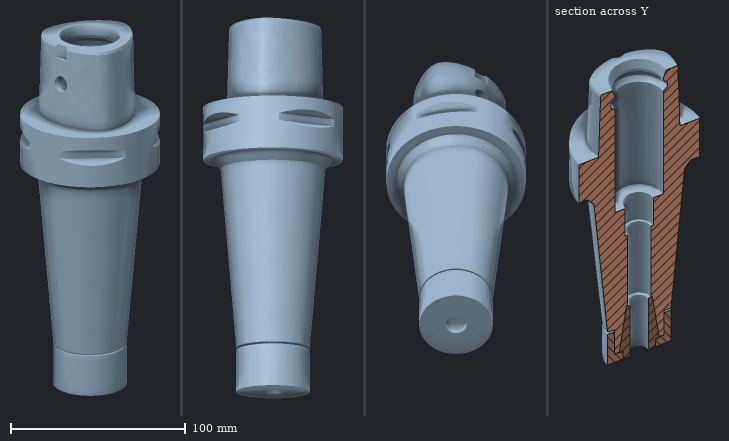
import cadquery as cq
import math

total_height = 213.0
flange_top = 165.3
flange_bottom = 135.0
shank_top = 129.7
shank_bottom = 25.5

lobe_height = 2.1
outline_points = 48
coupling_base_radius = 27.7
coupling_taper = 1.3
coupling_chamfer_height = 1.7
coupling_chamfer_width = 0.6

flange_radius = 40.0
flange_neck_radius = 34.0
shank_top_radius = 30.0
shank_bottom_radius = 21.0

groove_count = 4
groove_height = 153.1
groove_floor_distance = 35.4
groove_floor_width = 4.0
groove_flank_angle = 32.0

key_slot_radius = 6.8
key_slot_offset = 29.0
key_slot_depth = 8.0
side_hole_radius = 4.7
side_hole_height = 190.2
side_hole_floor = 18.3

mouth_radius = 17.7
bore_radius = 15.8
undercut_radius = 18.5
lip_top_depth = 5.8
lip_bottom_depth = 7.5
undercut_bottom_depth = 16.0
bore_floor = 117.2

counterbore_radius = 9.2
counterbore_depth = 21.3
passage_radius = 7.5

nut_radius = shank_bottom_radius
nut_height = 24.3
nut_band_height = 2.1
nut_band_relief = 0.1
nut_wall = 6.4
spigot_radius = 16.6

collet_top = 40.5
collet_top_radius = 8.3
collet_front_radius = 13.0
collet_nose_radius = 10.6
collet_hole_radius = 6.0
collet_hole_chamfer = 0.6


def revolved(points):
    """Solid of revolution about Z from (radius, height) points."""
    return cq.Workplane("XZ").polyline(points).close().revolve(360, (0, 0, 0), (0, 1, 0))


def lobed_wire(height, mean_radius):
    """Closed three-lobed outline of constant width, with one lobe toward +Y."""
    points = []
    for index in range(outline_points):
        angle = 2 * math.pi * index / outline_points
        reach = mean_radius - lobe_height * math.sin(3 * angle)
        shift = -3 * lobe_height * math.cos(3 * angle)
        points.append(cq.Vector(
            reach * math.cos(angle) - shift * math.sin(angle),
            reach * math.sin(angle) + shift * math.cos(angle),
            height,
        ))
    return cq.Wire.assembleEdges([cq.Edge.makeSpline(points, periodic=True)])


def make_coupling():
    """Tapered three-lobed plug with a chamfered top edge."""
    chamfer_start = total_height - coupling_chamfer_height
    top_radius = coupling_base_radius - coupling_taper
    base = lobed_wire(flange_top, coupling_base_radius)
    shoulder = lobed_wire(chamfer_start, top_radius)
    rim = lobed_wire(total_height, top_radius - coupling_chamfer_width)
    taper = cq.Solid.makeLoft([base, shoulder], True)
    chamfer = cq.Solid.makeLoft([shoulder, rim], True)
    return cq.Workplane(taper).union(cq.Workplane(chamfer))


def make_outer_body():
    """Spigot, conical shank and flange in one turned profile."""
    return revolved([
        (0, nut_wall),
        (spigot_radius, nut_wall),
        (spigot_radius, shank_bottom),
        (shank_bottom_radius, shank_bottom),
        (shank_top_radius, shank_top),
        (flange_neck_radius, flange_bottom),
        (flange_radius, flange_bottom),
        (flange_radius, flange_top),
        (0, flange_top),
    ])


def make_clamping_bore():
    """Cutter for the flared mouth, the lip, the undercut behind it and the deep bore."""
    undercut_flare = undercut_radius - bore_radius
    lip_top = total_height - lip_top_depth
    lip_bottom = total_height - lip_bottom_depth
    undercut_bottom = total_height - undercut_bottom_depth
    return revolved([
        (0, bore_floor),
        (bore_radius, bore_floor),
        (bore_radius, undercut_bottom),
        (undercut_radius, undercut_bottom + undercut_flare),
        (undercut_radius, lip_bottom - undercut_flare),
        (bore_radius, lip_bottom),
        (bore_radius, lip_top),
        (mouth_radius, total_height),
        (0, total_height),
    ])


def make_passage():
    counterbore_floor = bore_floor - counterbore_depth
    return revolved([
        (0, collet_top),
        (passage_radius, collet_top),
        (passage_radius, counterbore_floor),
        (counterbore_radius, counterbore_floor),
        (counterbore_radius, bore_floor),
        (0, bore_floor),
    ])


def make_collet_seat():
    return revolved([
        (0, nut_wall),
        (collet_front_radius, nut_wall),
        (collet_top_radius, collet_top),
        (0, collet_top),
    ])


def make_gripping_groove(angle):
    """Trapezoidal cutter across the flange rim, facing the given direction."""
    floor_half = groove_floor_width / 2
    cutter_depth = 2 * (flange_radius - groove_floor_distance)
    reach = groove_floor_distance + cutter_depth
    outer_half = floor_half + cutter_depth * math.tan(math.radians(groove_flank_angle))
    return (
        cq.Workplane("XZ")
        .polyline([
            (groove_floor_distance, groove_height - floor_half),
            (reach, groove_height - outer_half),
            (reach, groove_height + outer_half),
            (groove_floor_distance, groove_height + floor_half),
        ])
        .close()
        .extrude(flange_radius, both=True)
        .rotate((0, 0, 0), (0, 0, 1), angle)
    )


def make_holder():
    holder = make_outer_body().union(make_coupling())
    holder = holder.cut(make_clamping_bore()).cut(make_passage()).cut(make_collet_seat())

    key_slot = (
        cq.Workplane("XY", origin=(0, -key_slot_offset, total_height))
        .circle(key_slot_radius)
        .extrude(-key_slot_depth)
    )
    side_hole = (
        cq.Workplane("XZ", origin=(0, -side_hole_floor, side_hole_height))
        .circle(side_hole_radius)
        .extrude(flange_radius - side_hole_floor)
    )
    holder = holder.cut(key_slot).cut(side_hole)

    pitch = 360 / groove_count
    for index in range(groove_count):
        holder = holder.cut(make_gripping_groove((index + 0.5) * pitch))
    return holder


def make_nut():
    return revolved([
        (collet_nose_radius, 0),
        (nut_radius, 0),
        (nut_radius, nut_height - nut_band_height),
        (nut_radius - nut_band_relief, nut_height),
        (spigot_radius, nut_height),
        (spigot_radius, nut_wall),
        (collet_nose_radius, nut_wall),
    ])


def make_collet():
    return revolved([
        (collet_hole_radius, 0),
        (collet_nose_radius, 0),
        (collet_nose_radius, nut_wall),
        (collet_front_radius, nut_wall),
        (collet_top_radius, collet_top),
        (collet_hole_radius + collet_hole_chamfer, collet_top),
        (collet_hole_radius, collet_top - collet_hole_chamfer),
    ])


holder = make_holder()
nut = make_nut()
collet = make_collet()

result = cq.Compound.makeCompound([holder.val(), nut.val(), collet.val()])